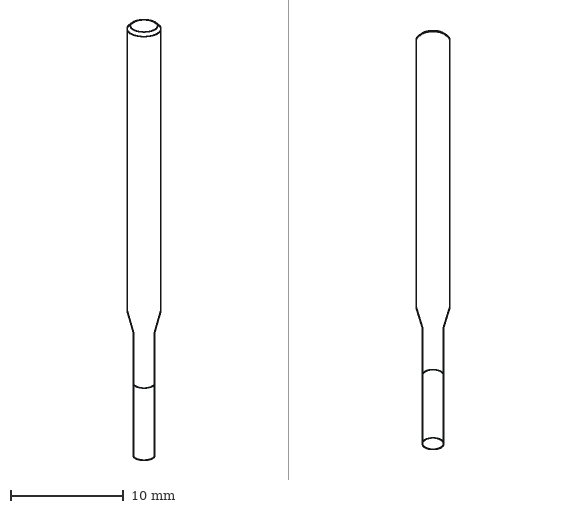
import cadquery as cq

total_length = 43.0
point_height = 0.3
neck_bottom = 7.5
cone_bottom = 12.55
cone_top = 14.75

shank_radius = 3.0 / 2
neck_radius = 1.9 / 2
tip_radius = neck_radius
shank_chamfer = 0.3


def make_shank():
    """Chamfered shank that tapers down to a straight neck."""
    half_profile = [
        (0, neck_bottom),
        (neck_radius, neck_bottom),
        (neck_radius, cone_bottom),
        (shank_radius, cone_top),
        (shank_radius, total_length - shank_chamfer),
        (shank_radius - shank_chamfer, total_length),
        (0, total_length),
    ]
    return cq.Workplane("XZ").polyline(half_profile).close().revolve(360, (0, 0), (0, 1))


def make_cutting_tip():
    """Cylindrical cutting tip with a shallow conical point, butted against the neck."""
    half_profile = [
        (0, 0),
        (tip_radius, point_height),
        (tip_radius, neck_bottom),
        (0, neck_bottom),
    ]
    return cq.Workplane("XZ").polyline(half_profile).close().revolve(360, (0, 0), (0, 1))


shank = make_shank()
cutting_tip = make_cutting_tip()

result = cq.Compound.makeCompound([shank.val(), cutting_tip.val()])